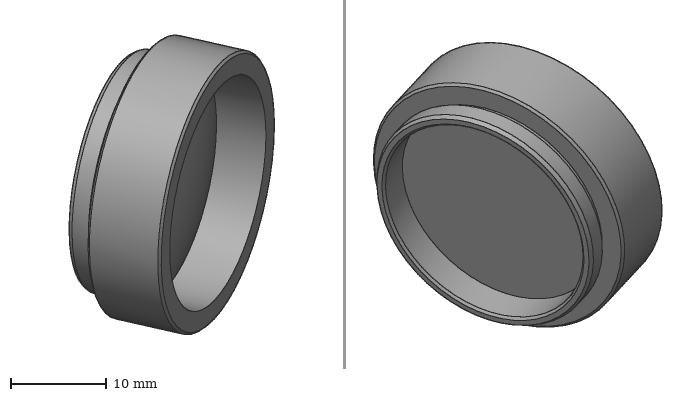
import cadquery as cq
import math

body_radius = 15.25
body_length = 8.35
body_chamfer = 0.27

flange_radius = 13.15
flange_length = 2.32
flange_chamfer_radial = 0.27
flange_chamfer_axial = 0.45

neck_radius = 12.68
neck_length = 0.75

bore_radius = 11.98
bore_chamfer = 0.27

lens_radius = 12.7
lens_edge_thickness = 2.0
lens_curvature_radius = 34.5
lens_face_depth = 3.78

total_length = flange_length + neck_length + body_length
rim_x = -total_length / 2
neck_x = rim_x + flange_length
body_x = neck_x + neck_length
end_x = total_length / 2
lens_face_x = rim_x + lens_face_depth
lens_edge_x = lens_face_x + lens_edge_thickness
lens_sag = lens_curvature_radius - math.sqrt(lens_curvature_radius**2 - lens_radius**2)


def revolve_about_x(profile):
    """Turn a closed (x, radius) profile a full circle around the X axis."""
    return profile.close().revolve(360, (0, 0, 0), (1, 0, 0))


def make_housing():
    """Tubular mount: chamfered flange, neck, body, bore and a lens seat open to +X."""
    profile = (
        cq.Workplane("XZ")
        .moveTo(rim_x, bore_radius + bore_chamfer)
        .lineTo(rim_x, flange_radius - flange_chamfer_radial)
        .lineTo(rim_x + flange_chamfer_axial, flange_radius)
        .lineTo(neck_x, flange_radius)
        .lineTo(neck_x, neck_radius)
        .lineTo(body_x, neck_radius)
        .lineTo(body_x, body_radius - body_chamfer)
        .lineTo(body_x + body_chamfer, body_radius)
        .lineTo(end_x - body_chamfer, body_radius)
        .lineTo(end_x, body_radius - body_chamfer)
        .lineTo(end_x, lens_radius)
        .lineTo(lens_face_x, lens_radius)
        .lineTo(lens_face_x, bore_radius)
        .lineTo(rim_x + bore_chamfer, bore_radius)
    )
    return revolve_about_x(profile)


def make_lens():
    """Plano-convex lens: flat face against the seat shoulder, dome towards +X."""
    apex_x = lens_edge_x + lens_sag
    profile = (
        cq.Workplane("XZ")
        .moveTo(lens_face_x, 0)
        .lineTo(lens_face_x, lens_radius)
        .lineTo(lens_edge_x, lens_radius)
        .radiusArc((apex_x, 0), lens_curvature_radius)
    )
    return revolve_about_x(profile)


housing = make_housing()
lens = make_lens()

result = cq.Compound.makeCompound([housing.val(), lens.val()])